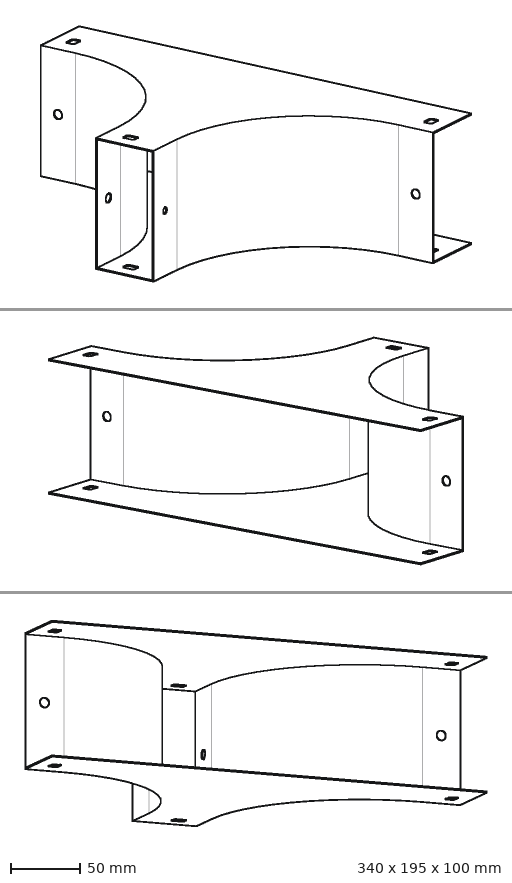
import cadquery as cq

run_length = 340.0
height = 100.0
duct_width = 50.0
collar = 30.0
sheet = 1.0
hole_inset = 15.0
slot_to_wall = 20.0
hole_diameter = 7.0
small_hole_diameter = 5.0
slot_width = 7.0
slot_length = 10.0
slot_corner_radius = 1.7

half_run = run_length / 2
half_stem = duct_width / 2
bend_radius = half_run - half_stem - collar
wall_y = collar + bend_radius
depth = wall_y + duct_width
slot_y = wall_y + slot_to_wall
slot_x = half_run - hole_inset
stem_slot_x = slot_to_wall - half_stem
diagonal = bend_radius * 0.5 ** 0.5
arc_x = half_stem + bend_radius - diagonal
arc_y = collar + diagonal


def tee_prism(length):
    """Tee outline with two concave quarter bends, extruded upward."""
    return (
        cq.Workplane("XY")
        .moveTo(-half_run, depth)
        .lineTo(half_run, depth)
        .lineTo(half_run, wall_y)
        .lineTo(half_run - collar, wall_y)
        .threePointArc((arc_x, arc_y), (half_stem, collar))
        .lineTo(half_stem, 0)
        .lineTo(-half_stem, 0)
        .lineTo(-half_stem, collar)
        .threePointArc((-arc_x, arc_y), (collar - half_run, wall_y))
        .lineTo(-half_run, wall_y)
        .close()
        .extrude(length)
    )


def side_wall(side):
    """Bent wall joining a run end to the stem; side is -1 or 1 along X."""
    inner_radius = bend_radius + sheet
    inner_diagonal = inner_radius * 0.5 ** 0.5
    bend_x = half_run - collar
    inner_x = half_stem - sheet
    return (
        cq.Workplane("XY")
        .moveTo(side * half_run, wall_y)
        .lineTo(side * bend_x, wall_y)
        .threePointArc((side * arc_x, arc_y), (side * half_stem, collar))
        .lineTo(side * half_stem, 0)
        .lineTo(side * inner_x, 0)
        .lineTo(side * inner_x, collar)
        .threePointArc(
            (side * (bend_x - inner_diagonal), collar + inner_diagonal),
            (side * bend_x, wall_y + sheet),
        )
        .lineTo(side * half_run, wall_y + sheet)
        .close()
        .extrude(height)
    )


def slot_cutter(x, y, x_size, y_size):
    """Vertical round-cornered slot passing through both plates."""
    return (
        cq.Workplane("XY")
        .center(x, y)
        .rect(x_size, y_size)
        .extrude(height)
        .edges("|Z")
        .fillet(slot_corner_radius)
    )


def stem_hole(side, diameter):
    """Cutter along X for the stem wall on the given side."""
    return (
        cq.Workplane("YZ")
        .center(hole_inset, height / 2)
        .circle(diameter / 2)
        .extrude(side * half_run)
    )


bottom_plate = tee_prism(sheet)
top_plate = bottom_plate.translate((0, 0, height - sheet))
body = bottom_plate.union(top_plate)
for side in (-1, 1):
    body = body.union(side_wall(side))

for side in (-1, 1):
    body = body.cut(slot_cutter(side * slot_x, slot_y, slot_width, slot_length))
body = body.cut(slot_cutter(stem_slot_x, hole_inset, slot_length, slot_width))

run_holes = (
    cq.Workplane("XZ")
    .pushPoints([(-slot_x, height / 2), (slot_x, height / 2)])
    .circle(hole_diameter / 2)
    .extrude(-depth)
)
body = body.cut(run_holes)
body = body.cut(stem_hole(-1, hole_diameter))
body = body.cut(stem_hole(1, small_hole_diameter))
result = body